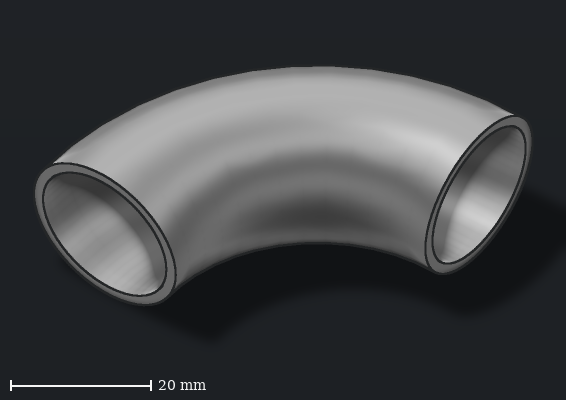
import cadquery as cq

tube_diameter = 25.4
wall_thickness = 1.7
bend_radius = 1.5 * tube_diameter
bend_angle = 90.0

outer_radius = tube_diameter / 2
bore_radius = outer_radius - wall_thickness


def swept_disc(radius):
    """Solid quarter-torus running from a -Y facing end to a +X facing end.

    The bend axis is the Z axis; the disc starts on the -X side of it.
    """
    return (
        cq.Workplane("XZ")
        .center(-bend_radius, 0)
        .circle(radius)
        .revolve(bend_angle, (bend_radius, 0), (bend_radius, -1))
    )


result = swept_disc(outer_radius).cut(swept_disc(bore_radius))